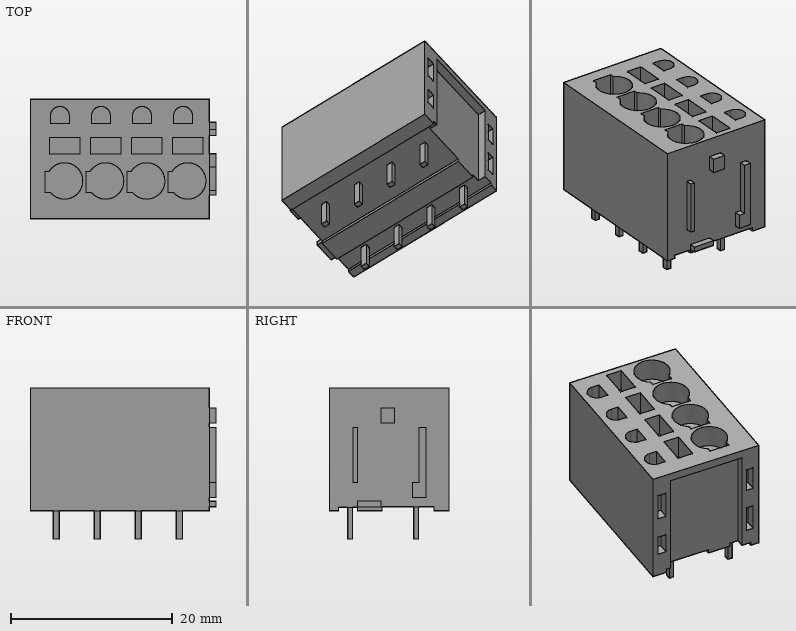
import cadquery as cq


housing_length = 22.12
housing_width = 14.8
housing_height = 15.2

pole_count = 4
pole_pitch = 5.08
opening_depth = 2.99

wire_x = 4.23
wire_y = 4.69
wire_radius = 2.25
relief_start_x = 1.8
relief_front_y = 3.25
relief_back_y = 5.85

release_y = 9.03
release_length = 3.77
release_width = 2.05

test_x = 3.65
test_arc_y = 12.73
test_radius = 1.17
test_flat_y = 11.78

groove_front_y = 2.37
groove_back_y = 12.31
groove_top_z = 14.1
groove_depth = 1.05

slot_depth = 1.38
slot_middle_z = 8.8
front_slot_y = (0.8, 1.72)
back_slot_y = (12.98, 14.08)
slots = [
    (*front_slot_y, slot_middle_z, 11.97),
    (*front_slot_y, 2.55, 6.06),
    (*back_slot_y, slot_middle_z, 12.38),
    (*back_slot_y, 3.26, 5.9),
]

front_channel_y = (1.13, 3.47)
front_channel_height = 0.44
back_channel_y = (6.5, 12.9)
back_channel_height = 0.5

lug_height = 0.85
rib_bottom_z = 3.51
rib_top_z = 10.34
front_rib_y = (2.95, 3.5)
back_rib_y = (11.07, 11.97)
pad_width = 1.68
pad_height = 1.88
upper_pad_y = 6.39
upper_pad_z = 10.85
low_bar_height = 0.7
lugs = [
    (*front_rib_y, rib_bottom_z, rib_top_z),
    (*back_rib_y, rib_bottom_z, rib_top_z),
    (back_rib_y[1] - pad_width, back_rib_y[1], rib_bottom_z - pad_height, rib_bottom_z),
    (upper_pad_y, upper_pad_y + pad_width, upper_pad_z, upper_pad_z + pad_height),
    (front_rib_y[1], upper_pad_y, back_channel_height, back_channel_height + low_bar_height),
]

pin_first_x = 3.2
pin_length_x = 0.78
pin_width_y = 0.62
pin_tip_z = -3.5
front_pin_y = 2.55
back_pin_y = 10.73


def block(x_range, y_range, z_range):
    """Box between the given limits on each axis."""
    sizes = [end - start for start, end in (x_range, y_range, z_range)]
    return cq.Workplane().box(*sizes, centered=False).translate((x_range[0], y_range[0], z_range[0]))


def wire_opening():
    z_range = (housing_height - opening_depth, housing_height)
    bore = (
        cq.Workplane(origin=(wire_x, wire_y, z_range[0]))
        .circle(wire_radius)
        .extrude(opening_depth)
    )
    return bore.union(block((relief_start_x, wire_x), (relief_front_y, relief_back_y), z_range))


def release_opening():
    return (
        cq.Workplane(origin=(wire_x, release_y, housing_height - opening_depth))
        .rect(release_length, release_width)
        .extrude(opening_depth)
    )


def test_opening():
    return (
        cq.Workplane(origin=(test_x, 0, housing_height - opening_depth))
        .moveTo(-test_radius, test_flat_y)
        .lineTo(test_radius, test_flat_y)
        .lineTo(test_radius, test_arc_y)
        .threePointArc((0, test_arc_y + test_radius), (-test_radius, test_arc_y))
        .close()
        .extrude(opening_depth)
    )


def make_housing():
    body = block((0, housing_length), (0, housing_width), (0, housing_height))

    body = body.cut(block((0, groove_depth), (groove_front_y, groove_back_y), (0, groove_top_z)))
    for y_start, y_end, z_start, z_end in slots:
        body = body.cut(block((0, slot_depth), (y_start, y_end), (z_start, z_end)))

    full_length = (0, housing_length)
    body = body.cut(block(full_length, front_channel_y, (0, front_channel_height)))
    body = body.cut(block(full_length, back_channel_y, (0, back_channel_height)))

    pole_openings = (wire_opening(), release_opening(), test_opening())
    for pole in range(pole_count):
        for opening in pole_openings:
            body = body.cut(opening.translate((pole * pole_pitch, 0, 0)))

    for y_start, y_end, z_start, z_end in lugs:
        lug_x = (housing_length, housing_length + lug_height)
        body = body.union(block(lug_x, (y_start, y_end), (z_start, z_end)))
    return body


def make_pin(pole, center_y, top_z):
    """Rectangular pin that stands against the ceiling of its channel."""
    center_x = pin_first_x + pole * pole_pitch
    return block(
        (center_x - pin_length_x / 2, center_x + pin_length_x / 2),
        (center_y - pin_width_y / 2, center_y + pin_width_y / 2),
        (pin_tip_z, top_z),
    )


housing = make_housing()
pins = []
for pole in range(pole_count):
    pins.append(make_pin(pole, front_pin_y, front_channel_height))
    pins.append(make_pin(pole, back_pin_y, back_channel_height))

result = cq.Compound.makeCompound([housing.val(), *[pin.val() for pin in pins]])